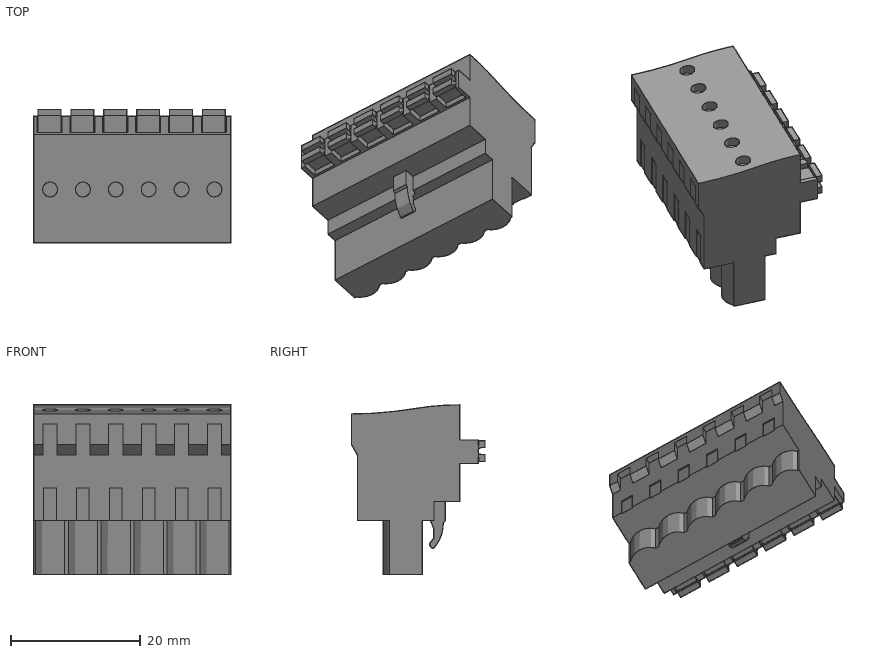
import cadquery as cq
import math


poles = 6
length = 30.48
pitch = length / poles
pole_centres = [(i + 0.5) * pitch for i in range(poles)]

height = 26.25
front_edge_z = 24.85
back_y = 16.73
inflection_y = 9.78
inflection_z = 25.65
lower_front_y = 0.9
nose_bottom_z = 20.1
lower_front_top_z = 18.45
back_bottom_z = 11.28
step_y = 12.77
body_bottom_z = 8.32

plug_front_y = 5.88
plug_back_y = 10.95
barrel_width = 4.5
barrel_bulge = 0.98

ledge_back_y = 19.6
ledge_bottom_z = 17.15
ledge_top_z = 20.82
pocket_front_y = 17.1
pocket_width = 3.8

upper_slot_width = 2.2
upper_slot_top_z = 23.3
lower_slot_width = 1.95
lower_slot_top_z = 13.38
lower_slot_depth = 0.15
hole_diameter = 2.3
hole_y = 8.25
hole_floor_z = 24.08

latch_x = length / 2
latch_width = 2.45
latch_back_y = 14.5
latch_root_y = 12.2
latch_neck_y = 12.68
latch_neck_top_z = 7.15
latch_neck_bottom_z = 5.58
latch_shoulder_y = 14.2
latch_shoulder_z = 8.0
latch_belly_y = 13.62
latch_belly_z = 5.43
latch_heel_y = 12.68
latch_bottom_z = 4.02
latch_toe_y = 12.47
latch_tip_y = 12.07
latch_tip_bottom_z = 4.5
latch_tip_top_z = 4.82

button_offset = -0.1
button_centres = [x + button_offset for x in pole_centres]
button_width = 3.57
button_back_y = 20.65
head_front_y = 19.7
head_height = 3.25
shank_height = 1.95
button_centre_z = 19.08
groove_height = 1.05
groove_depth = 1.07


def bar(outline, x_centre, width):
    """Extrude a closed YZ outline along X, centred on x_centre."""
    return outline.extrude(width / 2, both=True).translate((x_centre, 0, 0))


def block(x_centre, width, y_range, z_range):
    """Box centred on x_centre that spans the given Y and Z ranges."""
    y0, y1 = y_range
    z0, z1 = z_range
    return cq.Workplane("XY").box(width, y1 - y0, z1 - z0).translate((x_centre, (y0 + y1) / 2, (z0 + z1) / 2))


def make_body():
    """Housing and plug; the top is an S-curve of two tangent arcs that starts level at the front edge."""
    end_angle = 2 * math.atan2(inflection_z - front_edge_z, inflection_y)
    radius = inflection_y / math.sin(end_angle)
    front_arc_middle = (
        radius * math.sin(end_angle / 2),
        front_edge_z + radius * (1 - math.cos(end_angle / 2)),
    )

    outline = (
        cq.Workplane("YZ")
        .moveTo(0, front_edge_z)
        .threePointArc(front_arc_middle, (inflection_y, inflection_z))
        .tangentArcPoint((back_y, height), relative=False)
        .lineTo(back_y, ledge_top_z)
        .lineTo(ledge_back_y, ledge_top_z)
        .lineTo(ledge_back_y, ledge_bottom_z)
        .lineTo(back_y, ledge_bottom_z)
        .lineTo(back_y, back_bottom_z)
        .lineTo(step_y, back_bottom_z)
        .lineTo(step_y, body_bottom_z)
        .lineTo(plug_back_y, body_bottom_z)
        .lineTo(plug_back_y, 0)
        .lineTo(plug_front_y, 0)
        .lineTo(plug_front_y, body_bottom_z)
        .lineTo(lower_front_y, body_bottom_z)
        .lineTo(lower_front_y, lower_front_top_z)
        .lineTo(0, nose_bottom_z)
        .close()
    )
    return bar(outline, length / 2, length)


def make_barrel(x):
    """Rounded front of the plug at one pole."""
    return (
        cq.Workplane("XY")
        .moveTo(x - barrel_width / 2, plug_front_y)
        .threePointArc((x, plug_front_y - barrel_bulge), (x + barrel_width / 2, plug_front_y))
        .close()
        .extrude(body_bottom_z)
    )


def make_latch():
    """Hook that hangs from the step at the back of the housing."""
    outline = (
        cq.Workplane("YZ")
        .moveTo(step_y, back_bottom_z)
        .lineTo(latch_back_y, back_bottom_z)
        .lineTo(latch_back_y, body_bottom_z)
        .lineTo(latch_shoulder_y, latch_shoulder_z)
        .threePointArc((latch_belly_y, latch_belly_z), (latch_heel_y, latch_bottom_z))
        .lineTo(latch_toe_y, latch_bottom_z)
        .lineTo(latch_tip_y, latch_tip_bottom_z)
        .lineTo(latch_tip_y, latch_tip_top_z)
        .lineTo(latch_neck_y, latch_neck_bottom_z)
        .lineTo(latch_neck_y, latch_neck_top_z)
        .lineTo(latch_root_y, body_bottom_z)
        .lineTo(step_y, body_bottom_z)
        .close()
    )
    return bar(outline, latch_x, latch_width)


def make_housing():
    housing = make_body().union(make_latch())
    for x in pole_centres:
        housing = housing.union(make_barrel(x))
        upper_slot = block(x, upper_slot_width, (0, lower_front_y), (lower_front_top_z, upper_slot_top_z))
        lower_slot = block(
            x,
            lower_slot_width,
            (lower_front_y, lower_front_y + lower_slot_depth),
            (body_bottom_z, lower_slot_top_z),
        )
        hole = (
            cq.Workplane("XY", origin=(x, hole_y, hole_floor_z))
            .circle(hole_diameter / 2)
            .extrude(height - hole_floor_z)
        )
        housing = housing.cut(upper_slot).cut(lower_slot).cut(hole)
    for x in button_centres:
        pocket = block(x, pocket_width, (pocket_front_y, ledge_back_y), (ledge_bottom_z, ledge_top_z))
        housing = housing.cut(pocket)
    return housing


def make_button(x):
    """T-shaped button with a round-bottomed groove across its head."""
    shank_z = (button_centre_z - shank_height / 2, button_centre_z + shank_height / 2)
    head_z = (button_centre_z - head_height / 2, button_centre_z + head_height / 2)
    shank = block(x, button_width, (pocket_front_y, head_front_y), shank_z)
    head = block(x, button_width, (head_front_y, button_back_y), head_z)

    groove_radius = groove_height / 2
    groove_bottom_y = button_back_y - groove_depth
    groove = (
        cq.Workplane("YZ")
        .moveTo(button_back_y, button_centre_z - groove_radius)
        .lineTo(groove_bottom_y + groove_radius, button_centre_z - groove_radius)
        .threePointArc(
            (groove_bottom_y, button_centre_z),
            (groove_bottom_y + groove_radius, button_centre_z + groove_radius),
        )
        .lineTo(button_back_y, button_centre_z + groove_radius)
        .close()
    )
    return shank.union(head).cut(bar(groove, x, button_width))


housing = make_housing()
buttons = [make_button(x) for x in button_centres]

result = cq.Compound.makeCompound([housing.val(), *[button.val() for button in buttons]])